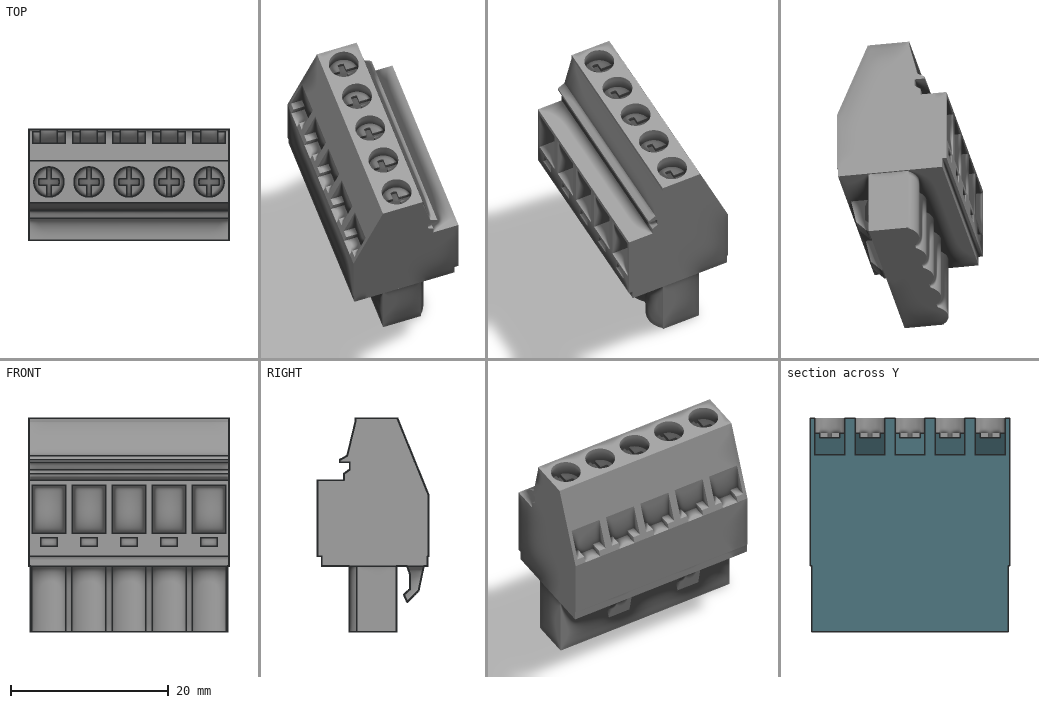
import cadquery as cq

poles = 5
width = 25.4
depth = 14.1
height = 27.1
pitch = width / poles
front = -depth / 2
back = depth / 2
pole_places = [(i - (poles - 1) / 2) * pitch for i in range(poles)]

base_z = 8.32
skirt_z = 9.57
skirt_front_inset = 0.55
skirt_back_inset = 0.1
shelf_z = 19.21
back_slope_z = 17.37
top_front = -2.25
top_back = 3.1
top_lip = 0.51
riser_y = -3.69
riser_z = 20.05
groove_y = -2.95
groove_low_z = 20.57
groove_high_z = 21.5
ridge_tip_y = -4.23
ridge_edge = 0.3
ridge_root_y = -3.28
ridge_root_z = 22.33

entry_width = 4.23
entry_bottom_z = 12.47
entry_top_z = 18.6
entry_depth = 2.8
test_slot_width = 2.11
test_slot_bottom_z = 10.8
test_slot_top_z = 11.95
test_slot_depth = 0.55

pocket_width = 4.12
pocket_front_y = 5.25
pocket_back_y = 6.75
notch_width = 2.17

plug_width = 24.99
plug_back_y = 3.0
plug_front_y = -2.1
lobe_width = 4.3
lobe_bulge = 0.95

latch_width = notch_width
latch_poles = [pole_places[1], pole_places[-2]]
latch_back_root_y = 6.45
latch_elbow = (5.8, 5.23)
hook_bottom = (4.34, 3.75)
hook_tip = (3.9, 4.72)
latch_front_y = 4.65
latch_front_low_z = 5.4
latch_front_high_z = 7.35
latch_front_root_y = 4.3

screw_y = 0.38
screw_radius = 1.9
screw_recess = 1.9
screw_length = 2.7
drive_depth = 0.55
long_slot_width = 0.6
cross_slot_width = 0.8
cross_slot_radius = 1.3


def block(x, x_size, y_low, y_high, z_low, z_high):
    """Box centred on x and spanning the given Y and Z ranges."""
    return (
        cq.Workplane("XY")
        .box(x_size, y_high - y_low, z_high - z_low, centered=(True, False, False))
        .translate((x, y_low, z_low))
    )


def side_extrusion(points, x, x_size):
    """Extrude a (Y, Z) outline along X, centred on x."""
    return (
        cq.Workplane("YZ", origin=(x, 0, 0))
        .polyline(points)
        .close()
        .extrude(x_size / 2, both=True)
    )


def make_shell():
    outline = [
        (back - skirt_back_inset, base_z),
        (back - skirt_back_inset, skirt_z),
        (back, skirt_z),
        (back, back_slope_z),
        (top_back, height),
        (top_front, height),
        (top_front, height - top_lip),
        (ridge_root_y, ridge_root_z),
        (ridge_tip_y, groove_high_z + ridge_edge),
        (ridge_tip_y, groove_high_z),
        (groove_y, groove_high_z),
        (groove_y, groove_low_z),
        (riser_y, riser_z),
        (riser_y, shelf_z),
        (front, shelf_z),
        (front, skirt_z),
        (front + skirt_front_inset, skirt_z),
        (front + skirt_front_inset, base_z),
    ]
    return side_extrusion(outline, 0, width)


def make_plug():
    """Block with a flat back and sides and one round lobe per pole along its front."""
    outline = (
        cq.Workplane("XY")
        .moveTo(-plug_width / 2, plug_back_y)
        .lineTo(-plug_width / 2, plug_front_y)
    )
    for x in pole_places:
        outline = outline.lineTo(x - lobe_width / 2, plug_front_y).threePointArc(
            (x, plug_front_y - lobe_bulge), (x + lobe_width / 2, plug_front_y)
        )
    return (
        outline.lineTo(plug_width / 2, plug_front_y)
        .lineTo(plug_width / 2, plug_back_y)
        .close()
        .extrude(base_z)
    )


def make_latch(x):
    """Bent arm under the housing with its hook turned towards the plug."""
    outline = [
        (latch_back_root_y, base_z),
        latch_elbow,
        hook_bottom,
        hook_tip,
        (latch_front_y, latch_front_low_z),
        (latch_front_y, latch_front_high_z),
        (latch_front_root_y, base_z),
    ]
    return side_extrusion(outline, x, latch_width)


def front_openings(x):
    entry = block(x, entry_width, front, front + entry_depth, entry_bottom_z, entry_top_z)
    test_slot = block(
        x, test_slot_width, front, front + test_slot_depth, test_slot_bottom_z, test_slot_top_z
    )
    return entry.union(test_slot)


def back_pocket(x):
    """Wide step in the sloped back, with a deeper notch open to the back face."""
    slope = (height - back_slope_z) / (back - top_back)
    pocket_floor_z = back_slope_z + slope * (back - pocket_back_y)
    pocket = block(x, pocket_width, pocket_front_y, back, pocket_floor_z, height)
    notch = block(x, notch_width, pocket_front_y, back, back_slope_z, height)
    return pocket.union(notch)


def cylinder_down(x, radius, top_z, length):
    """Upright cylinder on the screw axis of the pole at x, reaching down from top_z."""
    return cq.Workplane("XY", origin=(x, screw_y, top_z)).circle(radius).extrude(-length)


def make_housing():
    housing = make_shell().union(make_plug())
    for x in latch_poles:
        housing = housing.union(make_latch(x))
    for x in pole_places:
        screw_hole = cylinder_down(x, screw_radius, height, screw_recess + screw_length)
        housing = housing.cut(screw_hole).cut(front_openings(x)).cut(back_pocket(x))
    return housing


def make_screw(x):
    """Plain screw filling the lower part of its hole, with a crossed drive in its head."""
    head_z = height - screw_recess
    drive_z = head_z - drive_depth
    screw = cylinder_down(x, screw_radius, head_z, screw_length)
    long_slot = block(
        x, long_slot_width, screw_y - screw_radius, screw_y + screw_radius, drive_z, head_z
    )
    cross_slot = block(
        x,
        2 * cross_slot_radius,
        screw_y - cross_slot_width / 2,
        screw_y + cross_slot_width / 2,
        drive_z,
        head_z,
    ).intersect(cylinder_down(x, cross_slot_radius, head_z, drive_depth))
    return screw.cut(long_slot).cut(cross_slot)


housing = make_housing()
screws = [make_screw(x) for x in pole_places]

result = cq.Compound.makeCompound([housing.val(), *[screw.val() for screw in screws]])